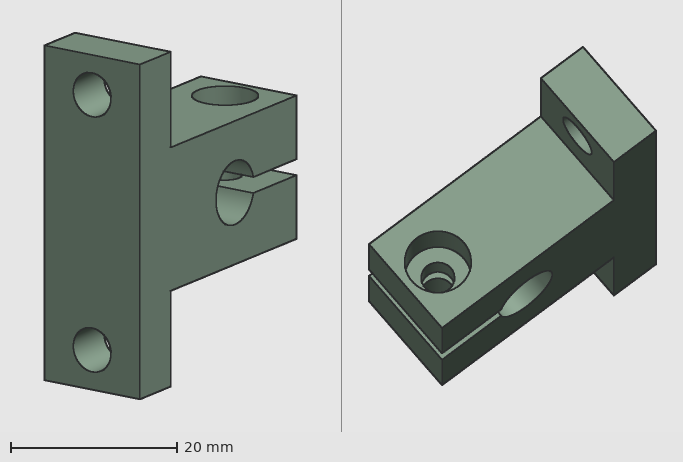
import cadquery as cq

width = 14.0
depth = 33.0
flange_height = 42.0
flange_thickness = 6.5
block_height = 18.0

bore_diameter = 8.0
bore_distance = 20.0
slit_width = 2.0

mount_hole_diameter = 5.5
mount_hole_spacing = 32.0

screw_hole_diameter = 4.0
screw_end_distance = 5.0
counterbore_diameter = 8.0
counterbore_depth = 5.0


def make_body():
    """T-shaped body: upright flange with its mounting face at Y = 0, and the clamp block behind it."""
    flange = cq.Workplane("XY").box(width, flange_thickness, flange_height, centered=(True, False, True))
    block = cq.Workplane("XY").box(width, depth, block_height, centered=(True, False, True))
    return flange.union(block)


def make_shaft_opening():
    """Shaft bore along X, joined to the slit that runs out through the clamp end."""
    bore = (
        cq.Workplane("YZ")
        .center(bore_distance, 0)
        .circle(bore_diameter / 2)
        .extrude(width / 2, both=True)
    )
    slit_length = depth - bore_distance
    slit = (
        cq.Workplane("XY")
        .box(width, slit_length, slit_width, centered=(True, False, True))
        .translate((0, bore_distance, 0))
    )
    return bore.union(slit)


def make_mount_holes():
    """Two holes through the flange along Y, above and below the block."""
    return (
        cq.Workplane("XZ")
        .pushPoints([(0, -mount_hole_spacing / 2), (0, mount_hole_spacing / 2)])
        .circle(mount_hole_diameter / 2)
        .extrude(-flange_thickness)
    )


def make_screw_hole():
    """Clamp screw hole through both jaws along Z, counterbored from the top."""
    top = cq.Workplane("XY", origin=(0, depth - screw_end_distance, block_height / 2))
    through = top.circle(screw_hole_diameter / 2).extrude(-block_height)
    counterbore = top.circle(counterbore_diameter / 2).extrude(-counterbore_depth)
    return through.union(counterbore)


result = (
    make_body()
    .cut(make_shaft_opening())
    .cut(make_mount_holes())
    .cut(make_screw_hole())
)